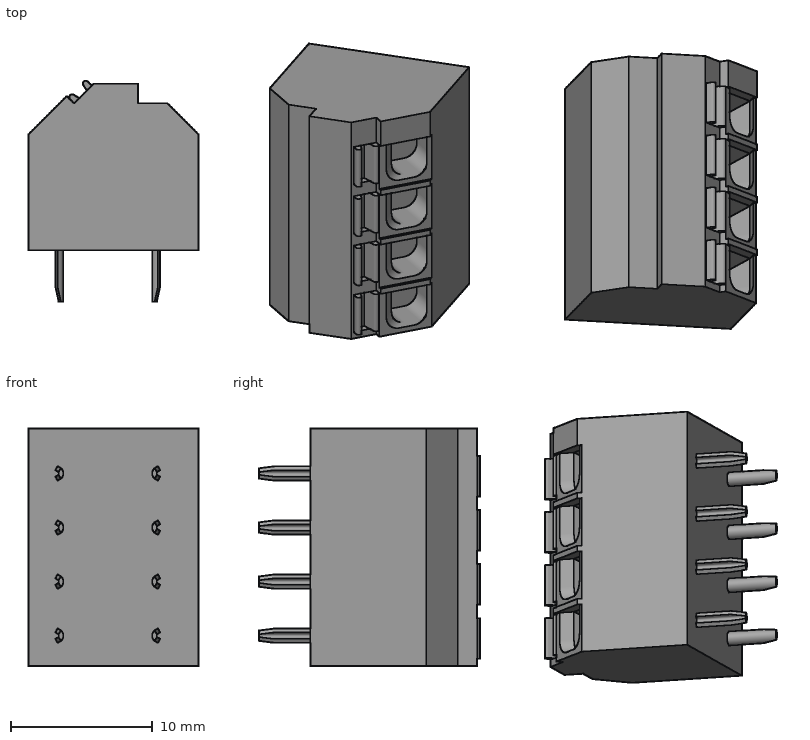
import cadquery as cq
import math

WIDTH = 12.0
HEIGHT = 11.75
SHOULDER_Y = 8.17
RIGHT_CHAMFER = 2.2
STEP_X = 7.74
PEAK_X = 2.71
NOTCH_DEPTH = 0.73
SIN45 = math.sqrt(0.5)

POLES = 4
PITCH = 3.81
END_PLATE = 1.5
LENGTH = POLES * PITCH + END_PLATE
CELL_HEIGHT = 3.41
CELL_RECESS = 0.33

ENTRY_X = 0.255
ENTRY_WIDTH = 3.16
ENTRY_BOTTOM = 0.39
ENTRY_CORNER = 1.0
LEAD_IN = 1.06
BORE_DEPTH = 2.5
CEILING_ANGLE = math.radians(19)

LEVER_BOTTOM = 0.51
LEVER_TOP = 3.38
LEVER_HALF_WIDTH = 0.885
LOBE_RADIUS = 0.21
LOBE_CENTRE_HEIGHT = 0.40
LOBE_OFFSET = LEVER_HALF_WIDTH - LOBE_RADIUS
SLOT_TAPER = math.radians(12.3)
SLOT_DEPTH = 0.6

PIN_LENGTH = 3.62
PIN_Z = 2.14
PIN_BACK_X = (2.47, 8.72)
PIN_RADIUS = 0.47
PIN_THICKNESS = 0.32
LEG_ANGLE = math.radians(30)
LEG_LENGTH = 0.20
TIP_LENGTH = 1.05
TIP_CUT = 0.27

PEAK = (PEAK_X, SHOULDER_Y + PEAK_X)
NOTCH = (PEAK_X + NOTCH_DEPTH * SIN45, PEAK[1] - NOTCH_DEPTH * SIN45)
BORE_DIRECTION = cq.Vector(SIN45, -SIN45, 0)
SLOPE_DIRECTION = cq.Vector(SIN45, SIN45, 0)


def prism(points, z_bottom, z_top):
    return cq.Workplane("XY").workplane(offset=z_bottom).polyline(points).close().extrude(z_top - z_bottom)


def make_housing():
    outline = [
        (0, 0),
        (WIDTH, 0),
        (WIDTH, SHOULDER_Y),
        (WIDTH - RIGHT_CHAMFER, SHOULDER_Y + RIGHT_CHAMFER),
        (STEP_X, SHOULDER_Y + RIGHT_CHAMFER),
        (STEP_X, HEIGHT),
        (NOTCH[0] + HEIGHT - NOTCH[1], HEIGHT),
        NOTCH,
        PEAK,
        (0, SHOULDER_Y),
    ]
    return prism(outline, 0, LENGTH)


def make_cell_recess(z):
    """Thin slab removed from the wire face, leaving a rib above it."""
    outline = [
        (0, SHOULDER_Y),
        (0, SHOULDER_Y - CELL_RECESS),
        (PEAK[0] + CELL_RECESS / 2, PEAK[1] - CELL_RECESS / 2),
        PEAK,
    ]
    return prism(outline, z, z + CELL_HEIGHT)


def make_wire_entry(z):
    """Hole with two rounded corners: a lead-in along -Y, then a bore square to the wire face."""
    corner = cq.Vector(ENTRY_X, SHOULDER_Y - CELL_RECESS + ENTRY_X, z)
    face = cq.Plane(corner, SLOPE_DIRECTION, BORE_DIRECTION)
    bend = cq.Vector(0, -LEAD_IN, 0)
    opening_height = CELL_HEIGHT - ENTRY_BOTTOM
    opening = (
        cq.Sketch()
        .rect(ENTRY_WIDTH, opening_height)
        .vertices("<Y")
        .fillet(ENTRY_CORNER)
        .moved(cq.Location(cq.Vector(ENTRY_WIDTH / 2, ENTRY_BOTTOM + opening_height / 2, 0)))
    )
    mouth = opening.val().moved(face.location).Faces()[0].outerWire()
    lead_in = cq.Solid.extrudeLinear(mouth, [], bend)
    bore = cq.Solid.extrudeLinear(mouth.moved(cq.Location(bend)), [], BORE_DIRECTION * BORE_DEPTH)

    ceiling_plane = cq.Plane(corner + bend, BORE_DIRECTION, SLOPE_DIRECTION * -1)
    drop = BORE_DEPTH * math.tan(CEILING_ANGLE)
    ceiling = (
        cq.Workplane(ceiling_plane)
        .polyline([
            (0, CELL_HEIGHT),
            (BORE_DEPTH, CELL_HEIGHT),
            (BORE_DEPTH, CELL_HEIGHT - drop),
        ])
        .close()
        .extrude(-ENTRY_WIDTH)
    )
    return cq.Workplane(bore).cut(ceiling).union(cq.Workplane(lead_in))


def lever_workplane(z):
    """Local x runs up the notch slope, local y points out of it; centred on the lever."""
    foot = cq.Vector(NOTCH[0], NOTCH[1], z + LEVER_BOTTOM)
    centre = foot + SLOPE_DIRECTION * LEVER_HALF_WIDTH
    return cq.Workplane(cq.Plane(centre, SLOPE_DIRECTION, cq.Vector(0, 0, 1)))


def slot_half_width(height):
    """Half width of the tapered slot at a height above the notch slope."""
    at_lobe_centre = LOBE_OFFSET - LOBE_RADIUS / math.cos(SLOT_TAPER)
    return at_lobe_centre + (height - LOBE_CENTRE_HEIGHT) * math.tan(SLOT_TAPER)


def make_slot(z):
    floor = slot_half_width(-SLOT_DEPTH)
    mouth = slot_half_width(0)
    outline = [(-floor, -SLOT_DEPTH), (floor, -SLOT_DEPTH), (mouth, 0), (-mouth, 0)]
    return lever_workplane(z).polyline(outline).close().extrude(LEVER_TOP - LEVER_BOTTOM)


def make_lobe(z, side):
    """Round-topped rail on one side (+1 or -1) of the slot."""
    wall_end = (
        LOBE_OFFSET - LOBE_RADIUS * math.cos(SLOT_TAPER),
        LOBE_CENTRE_HEIGHT + LOBE_RADIUS * math.sin(SLOT_TAPER),
    )
    return (
        lever_workplane(z)
        .moveTo(side * slot_half_width(-SLOT_DEPTH), -SLOT_DEPTH)
        .lineTo(side * LEVER_HALF_WIDTH, -SLOT_DEPTH)
        .lineTo(side * LEVER_HALF_WIDTH, LOBE_CENTRE_HEIGHT)
        .threePointArc(
            (side * LOBE_OFFSET, LOBE_CENTRE_HEIGHT + LOBE_RADIUS),
            (side * wall_end[0], wall_end[1]),
        )
        .close()
        .extrude(LEVER_TOP - LEVER_BOTTOM)
    )


def bend_end(radius, side):
    """Point (x, z) where the bend of a pin at this radius runs into a straight leg."""
    return (
        radius * math.sin(LEG_ANGLE) - PIN_RADIUS,
        side * radius * math.cos(LEG_ANGLE),
    )


def leg_end(radius, side):
    """Free corner (x, z) of the leg that continues the bend at this radius."""
    x, z = bend_end(radius, side)
    return (
        x - LEG_LENGTH * math.cos(LEG_ANGLE),
        z + side * LEG_LENGTH * math.sin(LEG_ANGLE),
    )


def make_pin():
    """Pin with its rounded back at x = 0 facing +X, centred on z = 0, pointing to -Y."""
    inner_radius = PIN_RADIUS - PIN_THICKNESS
    pin = (
        cq.Workplane("XZ")
        .moveTo(*leg_end(PIN_RADIUS, -1))
        .lineTo(*bend_end(PIN_RADIUS, -1))
        .threePointArc((0, 0), bend_end(PIN_RADIUS, 1))
        .lineTo(*leg_end(PIN_RADIUS, 1))
        .lineTo(*leg_end(inner_radius, 1))
        .lineTo(*bend_end(inner_radius, 1))
        .threePointArc((-PIN_THICKNESS, 0), bend_end(inner_radius, -1))
        .lineTo(*leg_end(inner_radius, -1))
        .close()
        .extrude(PIN_LENGTH)
    )
    for side in (1, -1):
        pin = pin.cut(make_tip_chamfer(side))
    return pin


def make_tip_chamfer(side):
    """Wedge that tapers one leg edge of a pin toward the tip."""
    outer_x, outer_z = leg_end(PIN_RADIUS, side)
    inner_x, inner_z = leg_end(PIN_RADIUS - PIN_THICKNESS, side)
    outer = cq.Vector(outer_x, 0, outer_z)
    inner = cq.Vector(inner_x, 0, inner_z)
    edge = outer - inner
    toward_tip = cq.Vector(0, -1, 0)
    into_leg = edge.cross(toward_tip).normalized() * side
    start = (outer + inner) * 0.5 + toward_tip * (PIN_LENGTH - TIP_LENGTH)
    tip = start + toward_tip * TIP_LENGTH
    wedge = cq.Wire.makePolygon([start, tip, tip + into_leg * TIP_CUT], close=True)
    sweep = edge * 2
    return cq.Workplane(cq.Solid.extrudeLinear(wedge.moved(cq.Location(edge * -1)), [], sweep))


housing = make_housing()
pin = make_pin()
mirrored_pin = pin.mirror("YZ")

for pole in range(POLES):
    z = pole * PITCH
    housing = housing.cut(make_cell_recess(z)).cut(make_wire_entry(z)).cut(make_slot(z))
    housing = housing.union(make_lobe(z, 1)).union(make_lobe(z, -1))
    housing = housing.union(pin.translate((PIN_BACK_X[0], 0, z + PIN_Z)))
    housing = housing.union(mirrored_pin.translate((PIN_BACK_X[1], 0, z + PIN_Z)))

result = housing